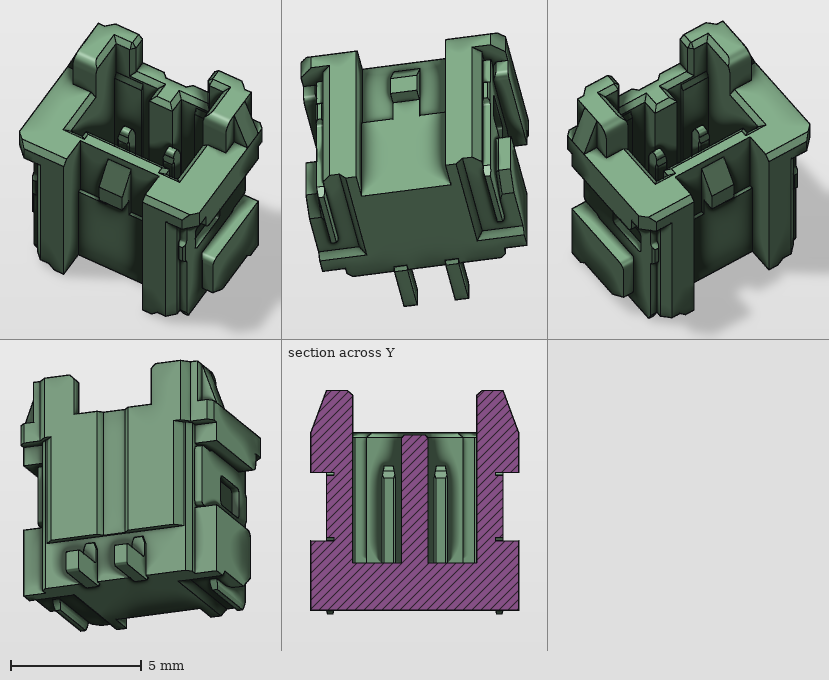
import cadquery as cq
import math


half_width = 4.0
shoulder_y = 5.5
bump_y = 5.805
housing_top = 6.83
tower_top = 8.45
flange_bottom = 6.04
flange_front_chamfer = 0.49
rear_chamfer = 0.21
wing_edge_chamfer = 0.22

wall_x = 3.105
body_front_chamfer = 0.32

bump_rise = bump_y - shoulder_y
flange_bump_x = 2.81
body_bump_x = 2.54
bump_bottom = 1.82
bump_notch_x = 0.45
bump_notch_depth = 0.2

recess_x = 1.75
recess_lower_y = 1.12
recess_upper_y = 1.27
recess_step_z = 3.86

latch_x = 0.52
latch_front_y = 0.585
latch_bottom = 4.7
latch_slope_bottom = 5.49
latch_slope_top = 6.48

cavity_x = 2.37
cavity_front_y = 1.625
cavity_rear_y = 5.11
cavity_floor = bump_bottom
cavity_corner = 0.08
rim_width = 0.215
rim_depth = 0.19
rib_x = 1.86
rib_y = 1.91
key_x = 0.52
key_y = 4.43
pad_inner_x = 1.18
pad_thickness = 0.11
pad_slope_bottom = 6.25
pad_top = 6.52

tower_front_y = 3.55
tower_outer_x = 3.4
tower_inner_x = 1.6
tower_inner_chamfer = 0.18
tower_corner_chamfer = 0.17
tower_round = 0.5
gusset_front_y = 4.19

block_rear_y = 5.005
block_round = 0.3
block_bevel_x = 3.535
block_bevel_depth = 0.2
arm_front_y = 0.99
arm_bottom = 5.3
foot_front_y = 1.51
foot_slope_y = 2.26
foot_slope_z = 0.82
foot_top = 2.68

undercut_height = 0.25
undercut_x = 2.41
undercut_rear_y = 4.15

plate_outer_x = 3.4
plate_front_y = 0.56
plate_rear_y = 4.04
plate_top = 5.93
plate_round = 0.26
plate_tip_z = -0.15
plate_tip_rear_y = 3.345
plate_tip_slope = 0.18
plate_tip_bevel_x = 0.04
plate_tip_bevel_z = 0.17
tab_rear_y = 5.05
tab_bottom = 2.795
tab_top = 5.2
tab_round = 0.17
window_front_y = 1.22
window_rear_y = 3.105
window_bottom = 3.39
window_top = 4.59
window_round = 0.17
barb_y = 0.34
barb_bottom = 3.43
barb_top = 4.6
barb_slope_rise = 0.17
barb_root_round = 0.17
barb_bevel_x = 0.07
barb_bevel_y = 0.1

pin_pitch = 2.0
pin_width = 0.52
pin_depth = 0.62
pin_y = 3.54
pin_corner = 0.07
pin_tip = 5.555
pin_taper = 0.47
pin_tip_width = 0.34
pin_tip_depth = 0.41
tail_bottom = -0.15
tail_top = 0.705
tail_start_y = 5.25
tail_end_y = 7.45
tail_round = 0.13
leg_rear_y = 5.65
leg_top = 1.59
leg_taper_height = 0.28
leg_taper = 0.1
leg_round = 0.1


def prism_z(points, z_bottom, z_top):
    """Outline in X-Y, extruded from z_bottom to z_top."""
    return cq.Workplane("XY", origin=(0, 0, z_bottom)).polyline(points).close().extrude(z_top - z_bottom)


def prism_x(points, x_start, x_end):
    """Outline in Y-Z, extruded from x_start to x_end."""
    return cq.Workplane("YZ", origin=(x_start, 0, 0)).polyline(points).close().extrude(x_end - x_start)


def prism_y(points, y_start, y_end):
    """Outline in X-Z, extruded from y_start to y_end."""
    return cq.Workplane("XZ", origin=(0, y_start, 0)).polyline(points).close().extrude(y_start - y_end)


def box(x_range, y_range, z_range):
    """Axis-aligned box from three (low, high) pairs."""
    size = [high - low for low, high in (x_range, y_range, z_range)]
    corner = [low for low, high in (x_range, y_range, z_range)]
    return cq.Workplane("XY").box(*size, centered=False).translate(tuple(corner))


def rectangle(y_range, z_range):
    """Corner points of a rectangle in Y-Z."""
    (y_low, y_high), (z_low, z_high) = y_range, z_range
    return [(y_low, z_low), (y_high, z_low), (y_high, z_high), (y_low, z_high)]


def symmetric(left_points):
    """Close a left-hand chain of points with its mirror image."""
    return left_points + [(-x, y) for x, y in reversed(left_points)]


def both_sides(left_shape):
    """Left-hand shape together with its mirror image."""
    return left_shape.union(left_shape.mirror("YZ"))


def housing_layer(side_x, front_chamfer, z_bottom, z_top):
    """Full-depth slab with chamfered vertical corners and no bump."""
    left = [
        (front_chamfer - side_x, 0),
        (-side_x, front_chamfer),
        (-side_x, shoulder_y - rear_chamfer),
        (rear_chamfer - side_x, shoulder_y),
    ]
    return prism_z(symmetric(left), z_bottom, z_top)


def rear_bump(rear_x, z_bottom, z_top):
    """Raised strip on the rear wall with sloped ends and a central notch."""
    notch_y = bump_y - bump_notch_depth
    left = [
        (-rear_x - bump_rise, shoulder_y),
        (-rear_x, bump_y),
        (-bump_notch_x - bump_notch_depth, bump_y),
        (-bump_notch_x, notch_y),
    ]
    return prism_z(symmetric(left), z_bottom, z_top)


def cavity_outline(growth=0):
    """Cavity plan: a rectangle less the front rib and the rear key, every side moved out by growth."""
    side_x = cavity_x + growth
    front_y = cavity_front_y - growth
    rear_y = cavity_rear_y + growth
    return symmetric([
        (growth - rib_x, rib_y - growth),
        (growth - rib_x, front_y),
        (-side_x, front_y),
        (-side_x, rear_y),
        (growth - key_x, rear_y),
        (growth - key_x, key_y + growth),
    ])


def cavity_opening(z_top):
    """Cavity volume up to z_top, ending in the sloped lead-in."""
    straight = prism_z(cavity_outline(), cavity_floor, z_top)
    rim = (
        cq.Workplane("XY", origin=(0, 0, z_top - rim_depth))
        .polyline(cavity_outline()).close()
        .workplane(offset=rim_depth)
        .polyline(cavity_outline(rim_width)).close()
        .loft(ruled=True)
    )
    return straight.union(rim)


def rear_pad():
    """Shallow pad in the left rear corner of the cavity, sloped at its top."""
    pad_y = cavity_rear_y - pad_thickness
    profile = [
        (cavity_rear_y, cavity_floor),
        (pad_y, cavity_floor),
        (pad_y, pad_slope_bottom),
        (cavity_rear_y, pad_top),
    ]
    return prism_x(profile, -cavity_x, -pad_inner_x)


def corner_filler():
    """Small web across the left front corner of the cavity."""
    corner = [
        (-cavity_x, cavity_front_y),
        (cavity_corner - cavity_x, cavity_front_y),
        (-cavity_x, cavity_front_y + cavity_corner),
    ]
    return prism_z(corner, cavity_floor, housing_top - rim_depth)


def wing_edge_cut():
    """Chamfer along the top front edge of the wings."""
    corner = [
        (0, housing_top - wing_edge_chamfer),
        (0, housing_top),
        (wing_edge_chamfer, housing_top),
    ]
    return prism_x(corner, -half_width, half_width)


def front_recess():
    """Gap between the wings, deeper above the step."""
    lower = box((-recess_x, recess_x), (0, recess_lower_y), (0, recess_step_z))
    upper = box((-recess_x, recess_x), (0, recess_upper_y), (recess_step_z, housing_top))
    return lower.union(upper)


def latch():
    """Wedge-topped latch with a flat rib below it."""
    profile = [
        (recess_upper_y, recess_step_z),
        (recess_lower_y, recess_step_z),
        (recess_lower_y, latch_bottom),
        (latch_front_y, latch_bottom),
        (latch_front_y, latch_slope_bottom),
        (recess_upper_y, latch_slope_top),
    ]
    return prism_x(profile, -latch_x, latch_x)


def tower():
    """Left tower: an angled wall standing on the flange, with its outer gusset."""
    root = housing_top - rim_depth
    plan = [
        (-tower_outer_x, tower_front_y),
        (-tower_outer_x, shoulder_y),
        (-flange_bump_x - bump_rise, shoulder_y),
        (-flange_bump_x, bump_y),
        (-tower_inner_x, bump_y),
        (-tower_inner_x, cavity_rear_y + tower_inner_chamfer),
        (-tower_inner_x - tower_inner_chamfer, cavity_rear_y),
        (-cavity_x, cavity_rear_y),
        (-cavity_x, tower_front_y),
    ]
    wall = prism_z(plan, root, tower_top)
    wall = wall.faces("<Y").edges(">Z").fillet(tower_round)
    facet_top = (
        -tower_inner_x - tower_inner_chamfer / 2,
        cavity_rear_y + tower_inner_chamfer / 2,
        tower_top,
    )
    wall = wall.edges(cq.selectors.NearestToPointSelector(facet_top)).chamfer(tower_corner_chamfer)
    inner_edge = prism_y(
        [
            (-tower_inner_x, tower_top),
            (-tower_inner_x, tower_top - tower_inner_chamfer),
            (-tower_inner_x - tower_inner_chamfer, tower_top),
        ],
        cavity_front_y,
        bump_y,
    )
    gusset = prism_y(
        [
            (-half_width, housing_top),
            (-tower_outer_x, housing_top),
            (-tower_outer_x, tower_top),
        ],
        gusset_front_y,
        block_rear_y,
    )
    return wall.cut(inner_edge).cut(cavity_opening(tower_top)).union(gusset)


def bevelled_block(outer, inner):
    """Left side block: full outline outside, smaller outline where it meets the plate."""
    plate = prism_x(outer, -half_width, -block_bevel_x)
    bevel = (
        cq.Workplane("YZ", origin=(-block_bevel_x, 0, 0))
        .polyline(outer).close()
        .workplane(offset=block_bevel_x - plate_outer_x)
        .polyline(inner).close()
        .loft(ruled=True)
    )
    root = prism_x(inner, -plate_outer_x, -wall_x)
    return plate.union(bevel).union(root)


def round_blank(y_range, z_range, corner):
    """Block-sized blank with one lengthwise front edge rounded."""
    blank = prism_x(rectangle(y_range, z_range), -half_width, -wall_x)
    return blank.edges(corner).fillet(block_round)


def upper_arm():
    """Left block hanging below the flange."""
    z_range = (arm_bottom, flange_bottom)
    outer = rectangle((arm_front_y, block_rear_y), z_range)
    inner = rectangle((arm_front_y + block_bevel_depth, block_rear_y), z_range)
    blank = round_blank((arm_front_y, block_rear_y), z_range, "|X and <Y and <Z")
    return bevelled_block(outer, inner).intersect(blank)


def foot_outline(inset):
    """Lower block outline with its front and sloped faces moved in by inset."""
    run = foot_slope_y - foot_front_y
    rise = foot_slope_z - undercut_height
    slope_length = math.hypot(run, rise)
    shift_z = inset * (slope_length - rise) / run
    shift_y = inset * slope_length / rise
    return [
        (foot_front_y + inset, foot_top),
        (foot_front_y + inset, foot_slope_z + shift_z),
        (foot_slope_y + shift_y, undercut_height),
        (undercut_rear_y, undercut_height),
        (undercut_rear_y + undercut_height, 0),
        (block_rear_y, 0),
        (block_rear_y, foot_top),
    ]


def lower_foot():
    """Left block beside the board."""
    blank = round_blank((foot_front_y, block_rear_y), (0, foot_top), "|X and <Y and >Z")
    return bevelled_block(foot_outline(0), foot_outline(block_bevel_depth)).intersect(blank)


def undercut():
    """Relief below the left wing and side wall, with 45 degree walls."""
    inner_wall = prism_y(
        [
            (-half_width, 0),
            (undercut_height - undercut_x, 0),
            (-undercut_x, undercut_height),
            (-half_width, undercut_height),
        ],
        0,
        shoulder_y,
    )
    rear_wall = prism_x(
        [
            (0, 0),
            (undercut_rear_y + undercut_height, 0),
            (undercut_rear_y, undercut_height),
            (0, undercut_height),
        ],
        -half_width,
        0,
    )
    return inner_wall.intersect(rear_wall)


def retainer_plate():
    """Left sheet-metal plate with rear tab, window, front barb and solder tip."""
    x_range = (-plate_outer_x, -wall_x)
    sheet = prism_x(rectangle((plate_front_y, plate_rear_y), (undercut_height, plate_top)), *x_range)
    sheet = sheet.edges("|X and <Y and >Z").fillet(plate_round)
    tab = prism_x(rectangle((plate_front_y + plate_round, tab_rear_y), (tab_bottom, tab_top)), *x_range)
    tab = tab.edges("|X and >Y").fillet(tab_round)
    tip = prism_x(
        [
            (plate_front_y, undercut_height),
            (plate_front_y + plate_tip_slope, plate_tip_z),
            (plate_tip_rear_y, plate_tip_z),
            (plate_tip_rear_y + plate_tip_slope, undercut_height),
        ],
        *x_range,
    )
    for face_x, inward in ((-plate_outer_x, 1), (-wall_x, -1)):
        bevel = [
            (face_x, plate_tip_z + plate_tip_bevel_z),
            (face_x, plate_tip_z),
            (face_x + inward * plate_tip_bevel_x, plate_tip_z),
        ]
        tip = tip.cut(prism_y(bevel, 0, tab_rear_y))
    barb = prism_x(
        [
            (plate_front_y, barb_bottom),
            (barb_y, barb_bottom + barb_slope_rise),
            (barb_y, barb_top - barb_slope_rise),
            (plate_front_y, barb_top),
        ],
        *x_range,
    )
    for face_x, inward in ((-plate_outer_x, 1), (-wall_x, -1)):
        bevel = [
            (face_x, barb_y),
            (face_x + inward * barb_bevel_x, barb_y),
            (face_x, barb_y + barb_bevel_y),
        ]
        barb = barb.cut(prism_z(bevel, barb_bottom, barb_top))
    window = prism_x(rectangle((window_front_y, window_rear_y), (window_bottom, window_top)), *x_range)
    window = window.edges("|X").fillet(window_round)
    plate = sheet.union(tab).union(tip).union(barb).cut(window)
    x_mid = -(plate_outer_x + wall_x) / 2
    inside_corners = [
        (plate_front_y, barb_bottom, barb_root_round),
        (plate_front_y, barb_top, barb_root_round),
        (plate_rear_y, tab_bottom, tab_round),
        (plate_rear_y, tab_top, tab_round),
    ]
    for y, z, radius in inside_corners:
        corner = cq.selectors.NearestToPointSelector((x_mid, y, z))
        plate = plate.edges(corner).fillet(radius)
    return plate


def contact():
    """Left contact: upright pin with a tapered round tip, and a bent tail at the rear."""
    x_mid = -pin_pitch / 2
    taper_bottom = pin_tip - pin_taper
    pin = box(
        (x_mid - pin_width / 2, x_mid + pin_width / 2),
        (pin_y - pin_depth / 2, pin_y + pin_depth / 2),
        (cavity_floor, pin_tip),
    )
    pin = pin.edges("|Z").chamfer(pin_corner)
    width_limit = prism_y(
        [
            (x_mid - pin_width / 2, 0),
            (x_mid - pin_width / 2, taper_bottom),
            (x_mid - pin_tip_width / 2, pin_tip),
            (x_mid + pin_tip_width / 2, pin_tip),
            (x_mid + pin_width / 2, taper_bottom),
            (x_mid + pin_width / 2, 0),
        ],
        cavity_front_y,
        cavity_rear_y,
    )
    arc_bottom = pin_tip - pin_tip_depth / 2
    depth_limit = (
        cq.Workplane("YZ", origin=(-half_width, 0, 0))
        .moveTo(pin_y - pin_depth / 2, 0)
        .lineTo(pin_y - pin_depth / 2, taper_bottom)
        .lineTo(pin_y - pin_tip_depth / 2, arc_bottom)
        .threePointArc((pin_y, pin_tip), (pin_y + pin_tip_depth / 2, arc_bottom))
        .lineTo(pin_y + pin_depth / 2, taper_bottom)
        .lineTo(pin_y + pin_depth / 2, 0)
        .close()
        .extrude(half_width)
    )
    pin = pin.intersect(width_limit).intersect(depth_limit)

    tail = box(
        (x_mid - pin_width / 2, x_mid + pin_width / 2),
        (tail_start_y, tail_end_y),
        (tail_bottom, tail_top),
    )
    tail = tail.edges("|X and >Y").fillet(tail_round)
    tail = tail.edges("|X and <Y and <Z").chamfer(tail_round)
    leg = prism_y(
        [
            (x_mid - pin_width / 2, 0),
            (x_mid + pin_width / 2, 0),
            (x_mid + pin_width / 2, leg_top - leg_taper_height),
            (x_mid + pin_width / 2 - leg_taper, leg_top),
            (x_mid - pin_width / 2 + leg_taper, leg_top),
            (x_mid - pin_width / 2, leg_top - leg_taper_height),
        ],
        tail_start_y,
        leg_rear_y,
    )
    leg = leg.faces(">Z").edges(">Y").fillet(leg_round)
    bend = cq.selectors.NearestToPointSelector((x_mid, leg_rear_y, tail_top))
    tail = tail.union(leg).edges(bend).fillet(leg_round)
    return pin.union(tail)


result = housing_layer(wall_x, body_front_chamfer, 0, flange_bottom)
result = result.union(housing_layer(half_width, flange_front_chamfer, flange_bottom, housing_top))
result = result.union(rear_bump(body_bump_x, bump_bottom, flange_bottom))
result = result.union(rear_bump(flange_bump_x, flange_bottom, housing_top))
result = result.cut(wing_edge_cut()).cut(front_recess()).union(latch())
result = result.cut(cavity_opening(housing_top))
result = result.cut(both_sides(undercut()))

side_features = (tower, upper_arm, lower_foot, rear_pad, corner_filler, retainer_plate, contact)
for make_feature in side_features:
    result = result.union(both_sides(make_feature()))